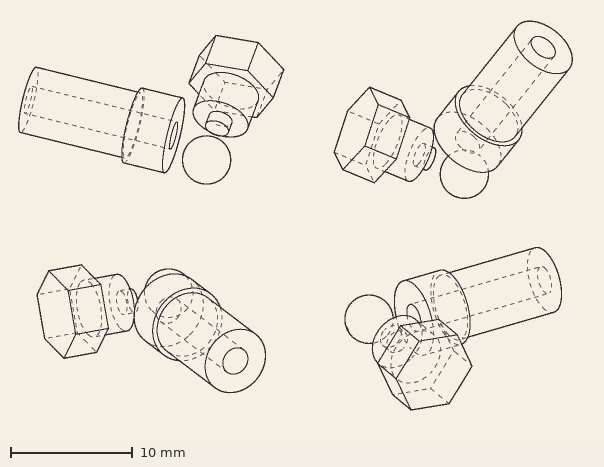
import cadquery as cq

barrel_diameter = 5.55
barrel_length = 8.99
collar_diameter = 6.35
collar_length = 3.5
bore_diameter = 2.3
sleeve_length = barrel_length + collar_length

plug_x = 15.7
plug_back_y = 8.72
hex_corner_diameter = 7.33
hex_turn = 7
head_length = 3.0
shank_diameter = 4.75
shank_length = 3.0
tip_diameter = 2.0
tip_length = 1.0

ball_diameter = 4.0
ball_center = (15.81, -1.62, 0.04)


def make_sleeve():
    """Plain barrel with a wider collar at the +X end and a through bore."""
    barrel = cq.Workplane("YZ").circle(barrel_diameter / 2).extrude(barrel_length)
    collar = (
        cq.Workplane("YZ", origin=(barrel_length, 0, 0))
        .circle(collar_diameter / 2)
        .extrude(collar_length)
    )
    bore = cq.Workplane("YZ").circle(bore_diameter / 2).extrude(sleeve_length)
    return barrel.union(collar).cut(bore)


def make_hex_plug():
    """Hexagonal head, round shank and small tip, stacked toward -Y."""
    plug_plane = cq.Workplane("XZ", origin=(plug_x, plug_back_y, 0))
    head = (
        plug_plane.transformed(rotate=(0, 0, hex_turn))
        .polygon(6, hex_corner_diameter)
        .extrude(head_length)
    )
    shank = (
        plug_plane.workplane(offset=head_length)
        .circle(shank_diameter / 2)
        .extrude(shank_length)
    )
    tip = (
        plug_plane.workplane(offset=head_length + shank_length)
        .circle(tip_diameter / 2)
        .extrude(tip_length)
    )
    return head.union(shank).union(tip)


def make_ball():
    """Loose ball in front of the plug tip."""
    return cq.Workplane("XY").sphere(ball_diameter / 2).translate(ball_center)


sleeve = make_sleeve()
hex_plug = make_hex_plug()
ball = make_ball()

result = cq.Compound.makeCompound([sleeve.val(), hex_plug.val(), ball.val()])